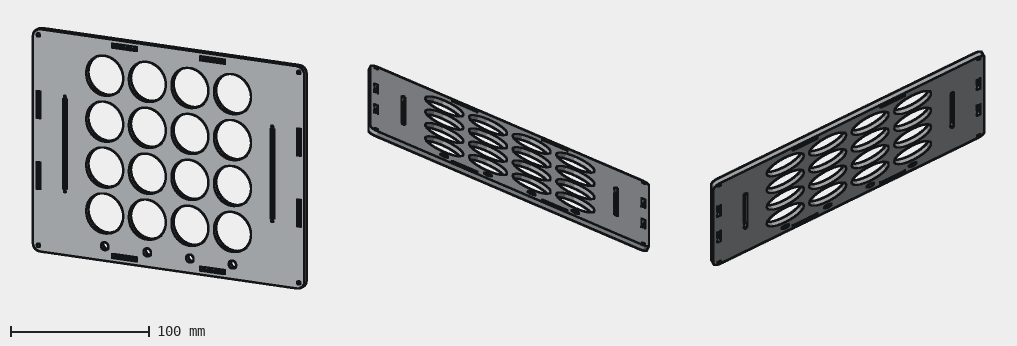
import cadquery as cq

WIDTH = 220.0
HEIGHT = 167.0
THICKNESS = 4.0
CORNER_RADIUS = 6.0

GRID_COUNT = 4
GRID_PITCH = 34.5
GRID_CENTER_Z = 3.75
OPENING_DIAMETER = 30.0
SMALL_HOLE_DIAMETER = 6.0
SMALL_HOLE_Z = -72.5

EDGE_INSET = 4.5
SCREW_HOLE_DIAMETER = 2.5
SCREW_X = WIDTH / 2 - EDGE_INSET
SCREW_Z = HEIGHT / 2 - EDGE_INSET

TAB_SLOT_LENGTH = 20.0
SLOT_WIDTH = 3.0
END_SLOT_X = 35.65
SIDE_SLOT_Z = 26.65

LONG_SLOT_X = 84.0
LONG_SLOT_LENGTH = 67.0
PIN_HOLE_OFFSET = 2.0
PIN_HOLE_Z = LONG_SLOT_LENGTH / 2 + PIN_HOLE_OFFSET
PIN_HOLE_DIAMETER = 1.5


def mirrored(x, z):
    """Four points placed symmetrically about the plate centre."""
    return [(sx * x, sz * z) for sx in (-1, 1) for sz in (-1, 1)]


def on_face(points):
    """Points on the +Y face, with local x along X, local y along Z and extrusion toward -Y."""
    return cq.Workplane("XZ", origin=(0, THICKNESS / 2, 0)).pushPoints(points)


def round_cutters(points, diameter):
    return on_face(points).circle(diameter / 2).extrude(THICKNESS)


def slot_cutters(points, size_x, size_z):
    return on_face(points).rect(size_x, size_z).extrude(THICKNESS)


def make_plate():
    plate = cq.Workplane("XY").box(WIDTH, THICKNESS, HEIGHT)
    return plate.edges("|Y").fillet(CORNER_RADIUS)


def cut_grid(plate):
    offsets = [(i - (GRID_COUNT - 1) / 2) * GRID_PITCH for i in range(GRID_COUNT)]
    openings = [(x, GRID_CENTER_Z + z) for x in offsets for z in offsets]
    small_holes = [(x, SMALL_HOLE_Z) for x in offsets]
    plate = plate.cut(round_cutters(openings, OPENING_DIAMETER))
    return plate.cut(round_cutters(small_holes, SMALL_HOLE_DIAMETER))


def cut_edge_features(plate):
    end_slots = mirrored(END_SLOT_X, SCREW_Z)
    side_slots = mirrored(SCREW_X, SIDE_SLOT_Z)
    plate = plate.cut(round_cutters(mirrored(SCREW_X, SCREW_Z), SCREW_HOLE_DIAMETER))
    plate = plate.cut(slot_cutters(end_slots, TAB_SLOT_LENGTH, SLOT_WIDTH))
    return plate.cut(slot_cutters(side_slots, SLOT_WIDTH, TAB_SLOT_LENGTH))


def cut_long_slots(plate):
    slots = [(-LONG_SLOT_X, 0), (LONG_SLOT_X, 0)]
    plate = plate.cut(slot_cutters(slots, SLOT_WIDTH, LONG_SLOT_LENGTH))
    return plate.cut(round_cutters(mirrored(LONG_SLOT_X, PIN_HOLE_Z), PIN_HOLE_DIAMETER))


result = cut_long_slots(cut_edge_features(cut_grid(make_plate())))